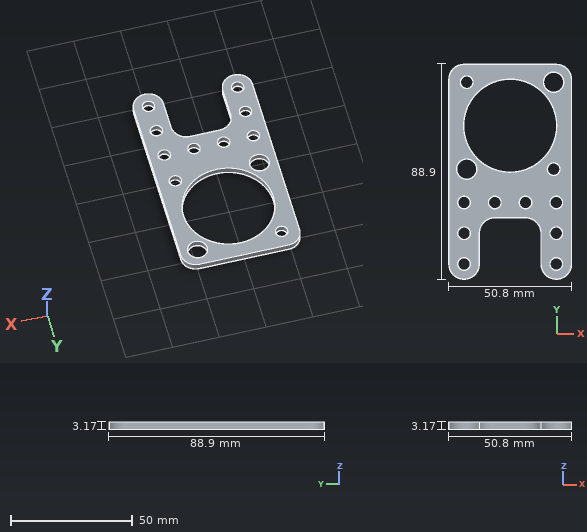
import cadquery as cq
import math

pitch = 12.7
thickness = pitch / 4
hole_diameter = 5.11

width = 4 * pitch
length = 7 * pitch
corner_radius = pitch / 2

leg_width = 2 * corner_radius
slot_width = width - 2 * leg_width
slot_depth = 2 * pitch

bore_diameter = 38.35
bore_y = length - 2 * pitch
mount_circle_radius = 2 * pitch
large_mount_diameter = 8.25
large_mount_angle = 45
small_mount_angle = large_mount_angle + 90

leg_x = (width - leg_width) / 2
row_count = 3
row_heights = [(row + 0.5) * pitch for row in range(row_count)]


def make_plate():
    """Plate with two round-ended legs, from a half outline mirrored about the Y axis."""
    side_x = width / 2
    slot_x = slot_width / 2
    half_outline = (
        cq.Workplane("XY")
        .moveTo(0, length)
        .lineTo(side_x - corner_radius, length)
        .tangentArcPoint((side_x, length - corner_radius), relative=False)
        .lineTo(side_x, corner_radius)
        .tangentArcPoint((leg_x, 0), relative=False)
        .tangentArcPoint((slot_x, corner_radius), relative=False)
        .lineTo(slot_x, slot_depth - corner_radius)
        .tangentArcPoint((slot_x - corner_radius, slot_depth), relative=False)
        .lineTo(0, slot_depth)
    )
    return half_outline.mirrorY().extrude(thickness).clean()


def cut_holes(plate, points, diameter):
    """Cut a through hole at each point."""
    cutter = cq.Workplane("XY").pushPoints(points).circle(diameter / 2).extrude(thickness)
    return plate.cut(cutter)


def grid_points():
    """Two columns of holes up the legs, plus the inner pair of the top row."""
    points = [(x, y) for x in (-leg_x, leg_x) for y in row_heights]
    inner_pair = [(x, row_heights[-1]) for x in (-pitch / 2, pitch / 2)]
    return points + inner_pair


def mount_points(angle):
    """Two opposite points on the mounting circle, the first at the given angle in degrees from +X."""
    offset_x = mount_circle_radius * math.cos(math.radians(angle))
    offset_y = mount_circle_radius * math.sin(math.radians(angle))
    return [(side * offset_x, bore_y + side * offset_y) for side in (1, -1)]


result = make_plate()
result = cut_holes(result, grid_points(), hole_diameter)
result = cut_holes(result, [(0, bore_y)], bore_diameter)
result = cut_holes(result, mount_points(large_mount_angle), large_mount_diameter)
result = cut_holes(result, mount_points(small_mount_angle), hole_diameter)